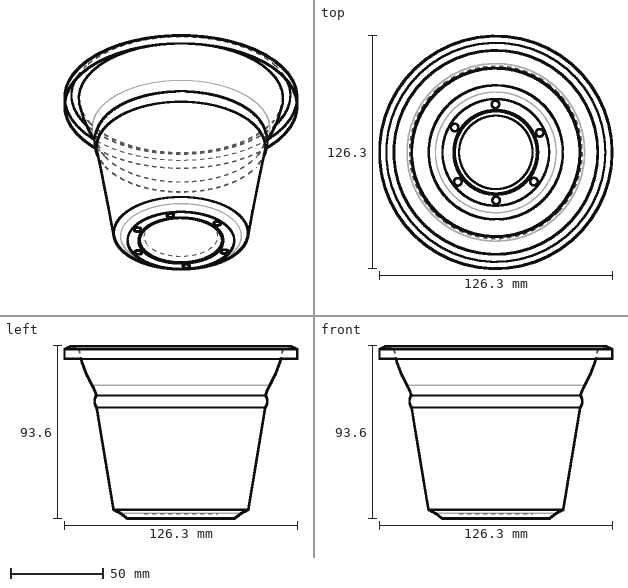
import cadquery as cq
import math

rim_radius = 63.17
pot_height = 93.64
sheet = 0.4
half_sheet = sheet / 2

floor_radius = 28.9
foot_break_radius = 32.9
foot_break_height = 3.1
foot_radius = 36.6
foot_height = 5.0

bead_bottom_radius = 45.75
bead_bottom_height = 60.3
bead_radius = 46.9
bead_height = 63.4
waist_radius = 45.9
waist_height = 66.8

hollow_mid_radius = 46.9
hollow_mid_height = 69.6
flare_turn_radius = 48.3
flare_turn_height = 72.4
mouth_radius = 55.2

ridge_radius = 59.3
lip_slope = math.radians(25)
ridge_height = pot_height - half_sheet / math.cos(lip_slope)
skirt_radius = rim_radius - half_sheet
shoulder_height = ridge_height - (skirt_radius - ridge_radius) * math.tan(lip_slope)
mouth_height = ridge_height - (ridge_radius - mouth_radius) * math.tan(lip_slope)
skirt_bottom = 86.6
trim_allowance = 1.0

drain_circle_radius = 26.0
drain_diameter = 4.0
drain_angles = (24.0, 90.4, 148.8, 217.8, 270.4, 322.5)

plug_radius = 23.0
plug_dome_radius = 22.2
plug_top_radius = 19.9
plug_dome_height = plug_dome_radius - plug_top_radius


def make_wall():
    """Sheet of constant thickness revolved about Z, from floor to skirt."""
    middle_line = (
        cq.Workplane("XZ")
        .moveTo(plug_radius - trim_allowance, half_sheet)
        .lineTo(floor_radius, half_sheet)
        .lineTo(foot_break_radius - half_sheet, foot_break_height)
        .lineTo(foot_radius - half_sheet, foot_height)
        .lineTo(bead_bottom_radius - half_sheet, bead_bottom_height)
        .threePointArc(
            (bead_radius - half_sheet, bead_height),
            (waist_radius - half_sheet, waist_height),
        )
        .threePointArc(
            (hollow_mid_radius - half_sheet, hollow_mid_height),
            (flare_turn_radius - half_sheet, flare_turn_height),
        )
        .tangentArcPoint((mouth_radius, mouth_height), relative=False)
        .lineTo(ridge_radius, ridge_height)
        .lineTo(skirt_radius, shoulder_height)
        .lineTo(skirt_radius, skirt_bottom - trim_allowance)
    )
    return middle_line.offset2D(half_sheet, "intersection").revolve(360, (0, 0, 0), (0, 1, 0))


def make_drain_holes():
    """Cutters for the drain holes."""
    centres = [
        (
            drain_circle_radius * math.cos(math.radians(angle)),
            drain_circle_radius * math.sin(math.radians(angle)),
        )
        for angle in drain_angles
    ]
    return cq.Workplane("XY").pushPoints(centres).circle(drain_diameter / 2).extrude(sheet)


def make_pot():
    """Thin pot with a square skirt edge, a round opening for the plug and drain holes."""
    skirt_trim = (
        cq.Workplane("XY", origin=(0, 0, skirt_bottom))
        .circle(rim_radius + trim_allowance)
        .circle(ridge_radius)
        .extrude(-2 * trim_allowance)
    )
    plug_opening = cq.Workplane("XY").circle(plug_radius).extrude(sheet)
    return make_wall().cut(skirt_trim).cut(plug_opening).cut(make_drain_holes())


def make_plug():
    """Disc flush with the floor, with a low dome that has a sloping flank and a flat top."""
    return (
        cq.Workplane("XZ")
        .lineTo(plug_radius, 0)
        .lineTo(plug_radius, sheet)
        .lineTo(plug_dome_radius, sheet)
        .lineTo(plug_top_radius, sheet + plug_dome_height)
        .lineTo(0, sheet + plug_dome_height)
        .close()
        .revolve(360, (0, 0, 0), (0, 1, 0))
    )


pot = make_pot()
plug = make_plug()

result = cq.Compound.makeCompound([pot.solids().val(), plug.val()])